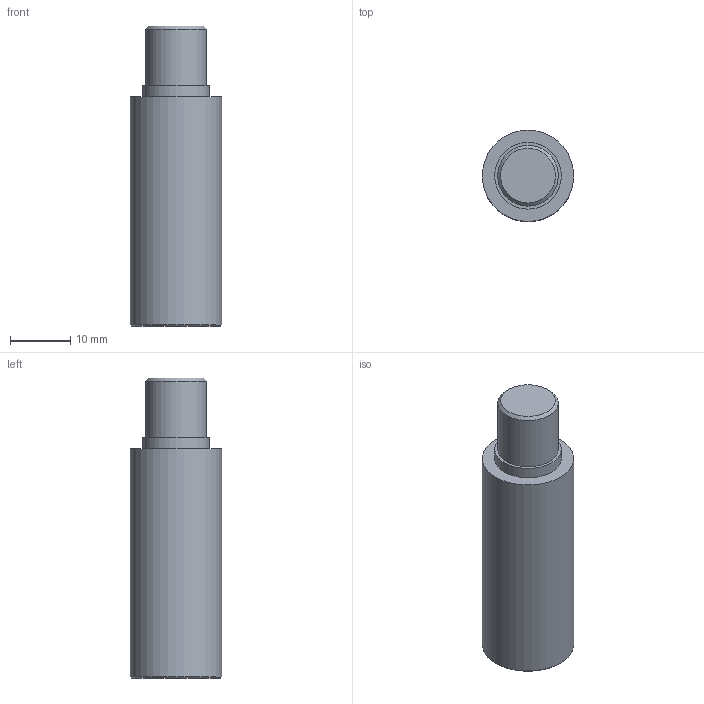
import cadquery as cq

body_diameter = 15.2
body_length = 38.1
body_chamfer = 0.2

collar_diameter = 11.1
collar_length = 1.9

pin_diameter = 10.1
pin_length = 9.9
pin_chamfer = 0.5


def make_body():
    """Cylinder standing on the XY plane with a chamfered bottom edge."""
    body = cq.Workplane("XY").circle(body_diameter / 2).extrude(body_length)
    return body.faces("<Z").edges().chamfer(body_chamfer)


def add_collar(part):
    """Plain shoulder on the top face of the body."""
    return part.faces(">Z").workplane().circle(collar_diameter / 2).extrude(collar_length)


def add_pin(part):
    """Pin on the collar with a chamfered free end."""
    part = part.faces(">Z").workplane().circle(pin_diameter / 2).extrude(pin_length)
    return part.faces(">Z").edges().chamfer(pin_chamfer)


result = add_pin(add_collar(make_body()))